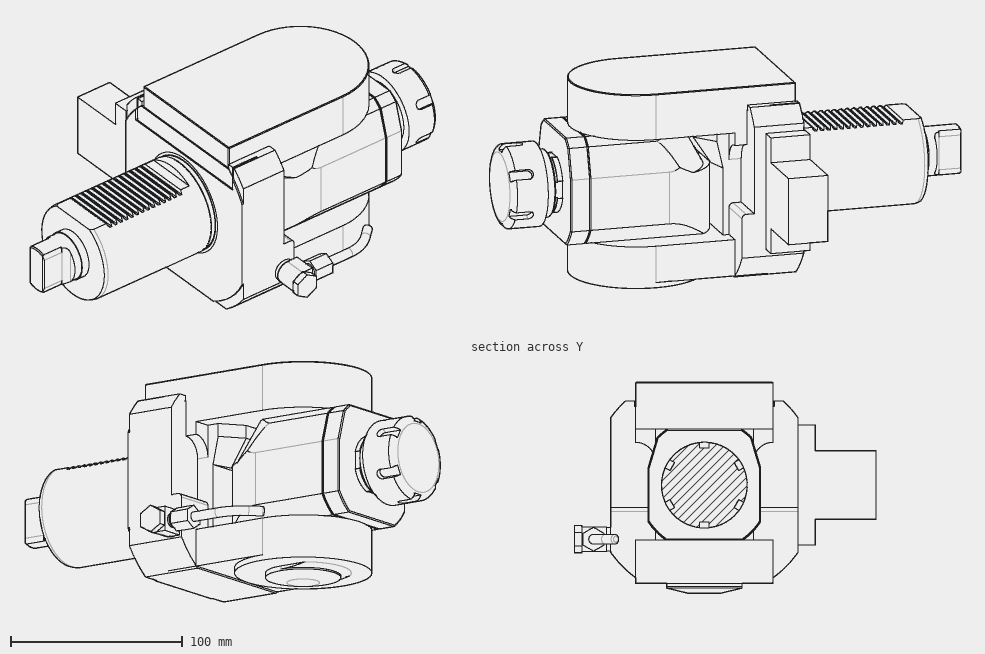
import math

import cadquery as cq


BLOCK_END_X = -100.0
FITTING_END_X = 75.7
TANG_END_Y = -109.5
NUT_END_Y = 169.41
CAP_TOP_Z = 60.0
DOME_BOTTOM_Z = -63.0

PLATE_HALF_WIDTH = 54.5
PLATE_TOP_Z = 49.0
PLATE_BOTTOM_Z = -55.0
PLATE_TURNED_RADIUS = 67.2
PLATE_UPPER_DEPTH = 31.2
PLATE_LOWER_DEPTH = 38.6
PLATE_STEP_Z = -13.0
PLATE_STEP_FILLET = 2.5
FACE_RADIUS = 61.5
FACE_HEIGHT = 1.0
SEAT_HALF_WIDTH = 44.4
SEAT_BOTTOM_Z = 34.0
SEAT_DEPTH = 18.6
SEAT_FACE_Y = 0.8
SEAT_GAP = 1.0
CAP_CLEARANCE = 0.6
SEAL_RING_OUTER_RADIUS = 32.0
SEAL_RING_PROTRUSION = 0.3

SIDE_FRONT_Y = 0.3
SIDE_REAR_Y = 24.2
SIDE_PAD_X = -64.6
SIDE_PAD_HALF_HEIGHT = 35.0
SIDE_BLOCK_HALF_HEIGHT = 20.0

PIVOT_Y = 86.5
ARM_RADIUS = 40.0
ARM_GAP_TOP_Z = 32.5
ARM_GAP_BOTTOM_Z = -32.0
CAP_BOTTOM_Z = 45.8
CAP_FRONT_Y = 1.6
CAP_CHAMFER = 0.5
LOWER_ARM_BOTTOM_Z = -54.0
PIVOT_DISC_BOTTOM_Z = -57.2
DOME_RADIUS = 22.0
DOME_RIM_Z = -60.0
DOME_FLAT_RADIUS = 9.5
DOME_RAMP_RADIUS = 28.0

RIB_HALF_WIDTH = 28.5
RIB_NOSE_HALF_WIDTH = 15.0
RIB_FRONT_Y = 42.3
RIB_WEDGE_BOTTOM_Z = 8.5
RIB_WEDGE_TOP_Z = 24.8
RIB_NOSE_BOTTOM_Y = 45.6
RIB_SIDE_TOP_Y = 46.0
RIB_NOSE_TOP_Y = 56.4
CORNICE_RADIUS = ARM_RADIUS - RIB_HALF_WIDTH
CORNICE_EDGE_Z = 24.9

HEAD_HALF_WIDTH = 32.8
HEAD_FRONT_Y = 136.2
HEAD_ROUND_Y = 76.0
HEAD_CORNER_RADIUS = 39.1
HEAD_SHOULDER_X = 27.5
HEAD_SIDE_TOP_Z = 10.0
HEAD_FRONT_CHAMFER = 0.7
HEAD_CONE_BOTTOM_Z = 7.3
HEAD_CONE_BOTTOM_RADIUS = 38.9
HEAD_CONE_TOP_RADIUS = 25.3
HEAD_SEAM_Y = 124.3
HEAD_SEAM_WIDTH = 0.8
HEAD_SEAM_DEPTH = 0.3

NOSE_RADIUS = 17.6
NOSE_FLANGE_END_Y = 139.4
NOSE_NECK_RADIUS = 17.0
NOSE_FLAT_COUNT = 4
NOSE_FLAT_WIDTH = 10.4
NOSE_FLAT_DISTANCE = 16.4
COLLAR_RADIUS = 20.0
COLLAR_START_Y = 141.2
COLLAR_CHAMFER = 0.8
NUT_RADIUS = 25.0
NUT_START_Y = 147.5
NUT_CROWN_LENGTH = 3.2
NUT_CROWN_RADIUS = 5.5
NUT_FACE_RADIUS = 20.3
NUT_SLOT_COUNT = 6
NUT_SLOT_WIDTH = 5.8
NUT_SLOT_END_Y = 155.6
NUT_SLOT_FLOOR_RADIUS = 21.6

SHANK_RADIUS = 30.0
SHANK_RELIEF_RADIUS = 58.7 / 2
SHANK_RELIEF_END_Y = -3.2
SHANK_END_Y = -82.3
SHANK_CHAMFER_LENGTH = 2.3
FLAT_Z = 25.0
FLAT_START_Y = -9.2
TOOTH_COUNT = 14
TOOTH_PITCH = 4.0
FIRST_GROOVE_Y = -17.2
GROOVE_DEPTH = 1.7
GROOVE_TOP_WIDTH = 3.2
GROOVE_FLOOR_WIDTH = 1.4

DRIVE_RADIUS = 15.0
DRIVE_STEP_Y = -87.3
TANG_RADIUS = 14.5
TANG_SHOULDER_Y = -92.3
TANG_HALF_WIDTH = 6.6
TANG_ROOT_RADIUS = 3.5
TANG_CHAMFER = 0.7
TANG_BEVEL_Z = 10.0
TANG_BEVEL_HEIGHT = 3.4
TANG_BEVEL_WIDTH = 0.9

FITTING_Y = 31.6
FITTING_Z = -31.5
FITTING_RADIUS = 14.5 / 2
FITTING_NECK_RADIUS = 6.9
FITTING_BODY_X = 57.0
FITTING_HEX_X = 71.3
FITTING_HEX_CORNERS = 16.0
HEX_SIDES = 6
TUBE_X = 64.5
TUBE_DIAMETER = 5.6
COUPLING_NECK_DIAMETER = 8.2
COUPLING_COLLAR_DIAMETER = 9.2
COUPLING_COLLAR_Y = 40.3
COUPLING_NUT_Y = 42.4
COUPLING_NUT_END_Y = 54.7
COUPLING_NUT_FLATS = 12.0
TUBE_BEND_Y = 72.0
TUBE_BEND_RADIUS = 25.0
TUBE_BEND_ANGLE = math.radians(43)
TUBE_TIP_LENGTH = 9.2
TUBE_TIP_FILLET = 1.0


def box(x0, x1, y0, y1, z0, z1):
    """Box between opposite corner coordinates."""
    return cq.Workplane("XY").box(x1 - x0, y1 - y0, z1 - z0, centered=False).translate((x0, y0, z0))


def cylinder_x(radius, x0, x1, y, z):
    """Cylinder along X."""
    return cq.Workplane("YZ", origin=(x0, y, z)).circle(radius).extrude(x1 - x0)


def cylinder_y(radius, y0, y1, x=0.0, z=0.0):
    """Cylinder along Y, from y0 up to y1."""
    return cq.Workplane("XZ", origin=(x, y0, z)).circle(radius).extrude(y0 - y1)


def pivot_cylinder(radius, z0, z1):
    """Cylinder about the vertical pivot axis."""
    return cq.Workplane("XY", origin=(0, PIVOT_Y, z0)).circle(radius).extrude(z1 - z0)


def arm(rear_y, z0, z1):
    """Flat arm with a round end about the pivot axis."""
    return (
        cq.Workplane("XY", origin=(0, 0, z0))
        .moveTo(-ARM_RADIUS, rear_y)
        .lineTo(ARM_RADIUS, rear_y)
        .lineTo(ARM_RADIUS, PIVOT_Y)
        .threePointArc((0, PIVOT_Y + ARM_RADIUS), (-ARM_RADIUS, PIVOT_Y))
        .close()
        .extrude(z1 - z0)
    )


def make_plate():
    """Turned plate with an insert seat at the top, set off by two narrow gaps."""
    width = PLATE_HALF_WIDTH
    upper = box(-width, width, 0, PLATE_UPPER_DEPTH, PLATE_BOTTOM_Z, PLATE_TOP_Z)
    lower = box(-width, width, 0, PLATE_LOWER_DEPTH, PLATE_BOTTOM_Z, PLATE_STEP_Z)
    lower = lower.edges("|X and >Y and >Z").fillet(PLATE_STEP_FILLET)
    outline = cylinder_y(PLATE_TURNED_RADIUS, FACE_HEIGHT, PLATE_LOWER_DEPTH)
    face = cylinder_y(FACE_RADIUS, 0, FACE_HEIGHT)
    plate = upper.union(lower).intersect(outline.union(face))

    seat_width = SEAT_HALF_WIDTH
    seat_face = box(-seat_width, seat_width, 0, SEAT_FACE_Y, SEAT_BOTTOM_Z, PLATE_TOP_Z)
    cap_width = ARM_RADIUS + CAP_CLEARANCE
    cap_pocket = box(-cap_width, cap_width, 0, PLATE_UPPER_DEPTH, CAP_BOTTOM_Z, PLATE_TOP_Z)
    plate = plate.cut(seat_face).cut(cap_pocket)
    gap = box(seat_width, seat_width + SEAT_GAP, 0, SEAT_DEPTH, SEAT_BOTTOM_Z, PLATE_TOP_Z)
    return plate.cut(gap).cut(gap.mirror("YZ"))


def make_seal_ring():
    """O-ring around the shank root, standing slightly proud of the mounting face."""
    section_radius = (SEAL_RING_OUTER_RADIUS - SHANK_RELIEF_RADIUS) / 2
    ring_radius = SEAL_RING_OUTER_RADIUS - section_radius
    center_y = section_radius - SEAL_RING_PROTRUSION
    ring = cq.Solid.makeTorus(ring_radius, section_radius, cq.Vector(0, center_y, 0), cq.Vector(0, 1, 0))
    return cq.Workplane("XY").add(ring)


def make_side_block():
    pad_z = SIDE_PAD_HALF_HEIGHT
    block_z = SIDE_BLOCK_HALF_HEIGHT
    pad = box(SIDE_PAD_X, -PLATE_HALF_WIDTH, SIDE_FRONT_Y, SIDE_REAR_Y, -pad_z, pad_z)
    block = box(BLOCK_END_X, SIDE_PAD_X, SIDE_FRONT_Y, SIDE_REAR_Y, -block_z, block_z)
    return pad.union(block)


def make_rib():
    """Wall between the arms, leaning out in a wedge to a deeper straight top."""
    width = RIB_HALF_WIDTH
    wall = box(-width, width, SEAT_DEPTH, RIB_FRONT_Y, ARM_GAP_BOTTOM_Z, ARM_GAP_TOP_Z)

    def section(side_y, nose_y):
        return [
            (-width, PLATE_LOWER_DEPTH),
            (width, PLATE_LOWER_DEPTH),
            (width, side_y),
            (RIB_NOSE_HALF_WIDTH, nose_y),
            (-RIB_NOSE_HALF_WIDTH, nose_y),
            (-width, side_y),
        ]

    wedge = (
        cq.Workplane("XY", origin=(0, 0, RIB_WEDGE_BOTTOM_Z))
        .polyline(section(RIB_FRONT_Y, RIB_NOSE_BOTTOM_Y))
        .close()
        .workplane(offset=RIB_WEDGE_TOP_Z - RIB_WEDGE_BOTTOM_Z)
        .polyline(section(RIB_SIDE_TOP_Y, RIB_NOSE_TOP_Y))
        .close()
        .loft(ruled=True)
    )
    rib_top = (
        cq.Workplane("XY", origin=(0, 0, RIB_WEDGE_TOP_Z))
        .polyline(section(RIB_SIDE_TOP_Y, RIB_NOSE_TOP_Y))
        .close()
        .extrude(ARM_GAP_TOP_Z - RIB_WEDGE_TOP_Z)
    )
    return wall.union(wedge).union(rib_top)


def make_cornice():
    """Root of the upper arm, running down into the rib sides with concave fillets."""
    cornice = box(
        -ARM_RADIUS,
        ARM_RADIUS,
        SEAT_DEPTH,
        PLATE_LOWER_DEPTH,
        CORNICE_EDGE_Z - CORNICE_RADIUS,
        ARM_GAP_TOP_Z,
    )
    for side in (-1, 1):
        hollow = cylinder_y(
            CORNICE_RADIUS,
            SEAT_DEPTH,
            PLATE_LOWER_DEPTH,
            side * ARM_RADIUS,
            CORNICE_EDGE_Z - CORNICE_RADIUS,
        )
        cornice = cornice.cut(hollow)
    return cornice


def make_dome():
    """Low dome under the pivot with a wider ramp on its head side."""

    def revolved(rim_radius, rim_z):
        return (
            cq.Workplane("XZ", origin=(0, PIVOT_Y, 0))
            .moveTo(0, PIVOT_DISC_BOTTOM_Z)
            .lineTo(DOME_RADIUS, PIVOT_DISC_BOTTOM_Z)
            .lineTo(rim_radius, rim_z)
            .lineTo(DOME_FLAT_RADIUS, DOME_BOTTOM_Z)
            .lineTo(0, DOME_BOTTOM_Z)
            .close()
            .revolve(360, (0, 0), (0, 1))
        )

    ramp_limits = box(
        -DOME_RADIUS,
        DOME_RADIUS,
        PIVOT_Y,
        PIVOT_Y + DOME_RAMP_RADIUS,
        DOME_BOTTOM_Z,
        PIVOT_DISC_BOTTOM_Z,
    )
    ramp = revolved(DOME_RAMP_RADIUS, PIVOT_DISC_BOTTOM_Z).intersect(ramp_limits)
    return revolved(DOME_RADIUS, DOME_RIM_Z).union(ramp)


def make_yoke():
    """Two round-ended arms with a cover cap on top and the pivot disc below."""
    cap = arm(CAP_FRONT_Y, CAP_BOTTOM_Z, CAP_TOP_Z)
    cap = cap.edges(">Z or (|Z and <Y)").chamfer(CAP_CHAMFER)
    upper = arm(SEAT_DEPTH, ARM_GAP_TOP_Z, CAP_BOTTOM_Z)
    lower = arm(SEAT_DEPTH, LOWER_ARM_BOTTOM_Z, ARM_GAP_BOTTOM_Z)
    disc = pivot_cylinder(ARM_RADIUS, PIVOT_DISC_BOTTOM_Z, LOWER_ARM_BOTTOM_Z)
    arms = cap.union(upper).union(lower).union(disc)
    return arms.union(make_cornice()).union(make_dome()).union(make_rib())


def head_profile(inset=0.0):
    """Wire of the head cross-section: a cylinder flattened on all sides, with sloped shoulders."""
    top_x = math.sqrt(HEAD_CORNER_RADIUS**2 - ARM_GAP_TOP_Z**2)
    bottom_x = math.sqrt(HEAD_CORNER_RADIUS**2 - ARM_GAP_BOTTOM_Z**2)
    side_bottom_z = -math.sqrt(HEAD_CORNER_RADIUS**2 - HEAD_HALF_WIDTH**2)
    shoulder_z = math.sqrt(HEAD_CORNER_RADIUS**2 - HEAD_SHOULDER_X**2)
    profile = (
        cq.Workplane("XZ", origin=(0, HEAD_FRONT_Y, 0))
        .moveTo(-bottom_x, ARM_GAP_BOTTOM_Z)
        .lineTo(bottom_x, ARM_GAP_BOTTOM_Z)
        .radiusArc((HEAD_HALF_WIDTH, side_bottom_z), -HEAD_CORNER_RADIUS)
        .lineTo(HEAD_HALF_WIDTH, HEAD_SIDE_TOP_Z)
        .lineTo(HEAD_SHOULDER_X, shoulder_z)
        .radiusArc((top_x, ARM_GAP_TOP_Z), -HEAD_CORNER_RADIUS)
        .lineTo(-top_x, ARM_GAP_TOP_Z)
        .radiusArc((-HEAD_SHOULDER_X, shoulder_z), -HEAD_CORNER_RADIUS)
        .lineTo(-HEAD_HALF_WIDTH, HEAD_SIDE_TOP_Z)
        .lineTo(-HEAD_HALF_WIDTH, side_bottom_z)
        .radiusArc((-bottom_x, ARM_GAP_BOTTOM_Z), -HEAD_CORNER_RADIUS)
        .close()
    )
    return profile.offset2D(-inset) if inset else profile


def make_head():
    """Swivel head, rounded at the rear to turn between the arms."""
    rear_y = HEAD_ROUND_Y - HEAD_HALF_WIDTH
    body = (
        head_profile()
        .extrude(HEAD_FRONT_Y - rear_y)
        .faces(">Y")
        .chamfer(HEAD_FRONT_CHAMFER)
    )
    plan = (
        cq.Workplane("XY", origin=(0, 0, ARM_GAP_BOTTOM_Z))
        .moveTo(HEAD_HALF_WIDTH, HEAD_FRONT_Y)
        .lineTo(-HEAD_HALF_WIDTH, HEAD_FRONT_Y)
        .lineTo(-HEAD_HALF_WIDTH, HEAD_ROUND_Y)
        .threePointArc((0, rear_y), (HEAD_HALF_WIDTH, HEAD_ROUND_Y))
        .close()
        .extrude(ARM_GAP_TOP_Z - ARM_GAP_BOTTOM_Z)
    )
    cone = cq.Workplane("XY").add(
        cq.Solid.makeCone(
            HEAD_CONE_BOTTOM_RADIUS,
            HEAD_CONE_TOP_RADIUS,
            ARM_GAP_TOP_Z - HEAD_CONE_BOTTOM_Z,
            cq.Vector(0, PIVOT_Y, HEAD_CONE_BOTTOM_Z),
        )
    )
    rear_cut = box(
        -HEAD_HALF_WIDTH, HEAD_HALF_WIDTH, rear_y, PIVOT_Y, HEAD_CONE_BOTTOM_Z, ARM_GAP_TOP_Z
    ).cut(cone)
    seam_core = head_profile(HEAD_SEAM_DEPTH).extrude(HEAD_SEAM_WIDTH)
    seam = head_profile().extrude(HEAD_SEAM_WIDTH).cut(seam_core)
    seam = seam.translate((0, HEAD_SEAM_Y + HEAD_SEAM_WIDTH / 2 - HEAD_FRONT_Y, 0))
    return body.intersect(plan).cut(rear_cut).cut(seam)


def around_spindle(shape, index, count):
    """Shape turned to position index of count equal steps about the spindle axis."""
    return shape.rotate((0, 0, 0), (0, 1, 0), index * 360 / count)


def make_nose():
    flange = cylinder_y(NOSE_RADIUS, HEAD_FRONT_Y, NOSE_FLANGE_END_Y)
    neck = cylinder_y(NOSE_NECK_RADIUS, NOSE_FLANGE_END_Y, COLLAR_START_Y)
    nose = flange.union(neck)
    flat = box(
        -NOSE_FLAT_WIDTH / 2,
        NOSE_FLAT_WIDTH / 2,
        HEAD_FRONT_Y,
        COLLAR_START_Y,
        NOSE_FLAT_DISTANCE,
        NOSE_RADIUS,
    )
    for index in range(NOSE_FLAT_COUNT):
        nose = nose.cut(around_spindle(flat, index, NOSE_FLAT_COUNT))
    collar = cylinder_y(COLLAR_RADIUS, COLLAR_START_Y, NUT_START_Y).faces("<Y").chamfer(COLLAR_CHAMFER)
    return nose.union(collar)


def make_nut():
    crown_y = NUT_END_Y - NUT_CROWN_LENGTH
    nut = (
        cq.Workplane("XY")
        .moveTo(0, NUT_START_Y)
        .lineTo(NUT_RADIUS, NUT_START_Y)
        .lineTo(NUT_RADIUS, crown_y)
        .radiusArc((NUT_FACE_RADIUS, NUT_END_Y), -NUT_CROWN_RADIUS)
        .lineTo(0, NUT_END_Y)
        .close()
        .revolve(360, (0, 0), (0, 1))
    )
    slot_round_y = NUT_SLOT_END_Y + NUT_SLOT_WIDTH / 2
    half_width = NUT_SLOT_WIDTH / 2
    slot = box(-half_width, half_width, slot_round_y, NUT_END_Y, NUT_SLOT_FLOOR_RADIUS, NUT_RADIUS)
    slot_round = (
        cq.Workplane("XY", origin=(0, slot_round_y, NUT_SLOT_FLOOR_RADIUS))
        .circle(half_width)
        .extrude(NUT_RADIUS - NUT_SLOT_FLOOR_RADIUS)
    )
    slot = slot.union(slot_round)
    for index in range(NUT_SLOT_COUNT):
        nut = nut.cut(around_spindle(slot, index, NUT_SLOT_COUNT))
    return nut


def make_shank():
    """Clamping shank with a toothed flat on top."""
    relief = cylinder_y(SHANK_RELIEF_RADIUS, SHANK_RELIEF_END_Y, 0)
    shank = cylinder_y(SHANK_RADIUS, SHANK_END_Y, SHANK_RELIEF_END_Y)
    shank = shank.faces("<Y").chamfer(SHANK_CHAMFER_LENGTH, SHANK_RADIUS - SHANK_RELIEF_RADIUS)
    flat = box(-SHANK_RADIUS, SHANK_RADIUS, SHANK_END_Y, FLAT_START_Y, FLAT_Z, SHANK_RADIUS)
    shank = shank.cut(flat)
    floor_z = FLAT_Z - GROOVE_DEPTH
    for index in range(TOOTH_COUNT):
        y = FIRST_GROOVE_Y - index * TOOTH_PITCH
        groove = (
            cq.Workplane("YZ", origin=(-SHANK_RADIUS, 0, 0))
            .moveTo(y - GROOVE_TOP_WIDTH / 2, FLAT_Z)
            .lineTo(y - GROOVE_FLOOR_WIDTH / 2, floor_z)
            .lineTo(y + GROOVE_FLOOR_WIDTH / 2, floor_z)
            .lineTo(y + GROOVE_TOP_WIDTH / 2, FLAT_Z)
            .close()
            .extrude(2 * SHANK_RADIUS)
        )
        shank = shank.cut(groove)
    return relief.union(shank)


def make_tang():
    """Drive journal ending in a flat two-sided tang with bevelled corners."""
    drive = cylinder_y(DRIVE_RADIUS, DRIVE_STEP_Y, SHANK_END_Y)
    tang = cylinder_y(TANG_RADIUS, TANG_END_Y, DRIVE_STEP_Y).faces("<Y").chamfer(TANG_CHAMFER)
    root_y = TANG_SHOULDER_Y - TANG_ROOT_RADIUS
    for side in (-1, 1):
        root_x = side * (TANG_HALF_WIDTH + TANG_ROOT_RADIUS)
        cheek = (
            cq.Workplane("XY", origin=(0, 0, -TANG_RADIUS))
            .moveTo(side * TANG_RADIUS, TANG_END_Y)
            .lineTo(side * (TANG_HALF_WIDTH - TANG_CHAMFER), TANG_END_Y)
            .lineTo(side * TANG_HALF_WIDTH, TANG_END_Y + TANG_CHAMFER)
            .lineTo(side * TANG_HALF_WIDTH, root_y)
            .radiusArc((root_x, TANG_SHOULDER_Y), side * TANG_ROOT_RADIUS)
            .lineTo(side * TANG_RADIUS, TANG_SHOULDER_Y)
            .close()
            .extrude(2 * TANG_RADIUS)
        )
        tang = tang.cut(cheek)
        for level in (-1, 1):
            bevel_x = side * (TANG_HALF_WIDTH - TANG_BEVEL_WIDTH)
            bevel_top = level * (TANG_BEVEL_Z + TANG_BEVEL_HEIGHT)
            bevel = (
                cq.Workplane("XZ", origin=(0, root_y, 0))
                .moveTo(side * TANG_HALF_WIDTH, level * TANG_BEVEL_Z)
                .lineTo(bevel_x, bevel_top)
                .lineTo(side * TANG_HALF_WIDTH, bevel_top)
                .close()
                .extrude(root_y - TANG_END_Y)
            )
            tang = tang.cut(bevel)
    return drive.union(tang)


def make_fitting():
    """Banjo fitting with its coupling and coolant tube."""
    neck = cylinder_x(FITTING_NECK_RADIUS, PLATE_HALF_WIDTH, FITTING_BODY_X, FITTING_Y, FITTING_Z)
    barrel = cylinder_x(FITTING_RADIUS, FITTING_BODY_X, FITTING_HEX_X, FITTING_Y, FITTING_Z)
    back_y = FITTING_Y + FITTING_RADIUS
    back = box(
        FITTING_BODY_X,
        FITTING_HEX_X,
        FITTING_Y,
        back_y,
        FITTING_Z - FITTING_RADIUS,
        FITTING_Z + FITTING_RADIUS,
    )
    screw_head = (
        cq.Workplane("YZ", origin=(FITTING_HEX_X, FITTING_Y, FITTING_Z))
        .transformed(rotate=(0, 0, 90))
        .polygon(HEX_SIDES, FITTING_HEX_CORNERS)
        .extrude(FITTING_END_X - FITTING_HEX_X)
    )
    body = neck.union(barrel).union(back).union(screw_head)

    coupling_neck = cylinder_y(COUPLING_NECK_DIAMETER / 2, back_y, COUPLING_COLLAR_Y, TUBE_X, FITTING_Z)
    collar = cylinder_y(
        COUPLING_COLLAR_DIAMETER / 2, COUPLING_COLLAR_Y, COUPLING_NUT_Y, TUBE_X, FITTING_Z
    )
    nut = (
        cq.Workplane("XZ", origin=(TUBE_X, COUPLING_NUT_Y, FITTING_Z))
        .transformed(rotate=(0, 0, 90))
        .polygon(HEX_SIDES, COUPLING_NUT_FLATS / math.cos(math.pi / HEX_SIDES))
        .extrude(COUPLING_NUT_Y - COUPLING_NUT_END_Y)
    )
    return body.union(coupling_neck).union(collar).union(nut).union(make_tube())


def make_tube():
    """Coolant tube: straight, then bent towards the head."""

    def bend_point(angle):
        x = TUBE_X - TUBE_BEND_RADIUS * (1 - math.cos(angle))
        y = TUBE_BEND_Y + TUBE_BEND_RADIUS * math.sin(angle)
        return x, y

    end_x, end_y = bend_point(TUBE_BEND_ANGLE)
    tip = (
        end_x - TUBE_TIP_LENGTH * math.sin(TUBE_BEND_ANGLE),
        end_y + TUBE_TIP_LENGTH * math.cos(TUBE_BEND_ANGLE),
    )
    path = (
        cq.Workplane("XY", origin=(0, 0, FITTING_Z))
        .moveTo(TUBE_X, COUPLING_NUT_END_Y)
        .lineTo(TUBE_X, TUBE_BEND_Y)
        .threePointArc(bend_point(TUBE_BEND_ANGLE / 2), (end_x, end_y))
        .lineTo(*tip)
    )
    section = cq.Workplane("XZ", origin=(TUBE_X, COUPLING_NUT_END_Y, FITTING_Z))
    return section.circle(TUBE_DIAMETER / 2).sweep(path).edges(">Y").fillet(TUBE_TIP_FILLET)


result = (
    make_plate()
    .union(make_side_block())
    .union(make_yoke())
    .union(make_head())
    .union(make_nose())
    .union(make_nut())
    .union(make_seal_ring())
    .union(make_shank())
    .union(make_tang())
    .union(make_fitting())
)